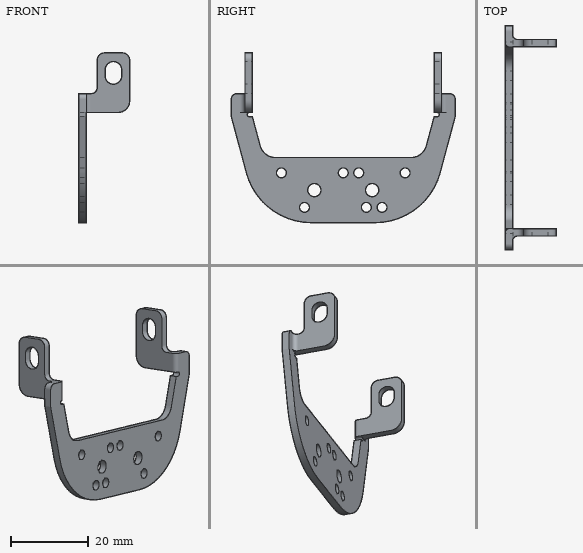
import cadquery as cq
import math

width = 58.0
height = 44.0
depth = 13.2
sheet = 2.0

half_width = width / 2
arm_top = 33.45
arm_corner_radius = 1.5
arm_bend_z = 27.5
arm_slope = math.tan(math.radians(15))
bottom_radius = 17.5
web_top = 16.95
inner_radius = 4.0

tab_inner_y = 23.5
tab_outer_y = tab_inner_y + sheet
bend_outer_radius = 1.1
bend_inner_radius = 1.15
tab_neck_x = 4.75
neck_radius = 1.5
tab_top_radius = 2.0
tab_lower_radius = 3.0

tab_hole_width = 4.25
tab_hole_length = 5.8
tab_hole_x = (tab_neck_x + depth) / 2
tab_hole_z = 38.8

relief_width = 1.05
relief_top = 28.55
relief_bottom = relief_top - relief_width
relief_end_y = 24.8

small_hole_diameter = 2.5
large_hole_diameter = 3.35
upper_row_z = 12.95
middle_row_z = 8.45
lower_row_z = 4.0
small_holes = [(y, upper_row_z) for y in (-16.0, 0, 4.0, 16.0)]
small_holes += [(y, lower_row_z) for y in (-10.05, 6.0, 10.05)]
large_holes = [(y, middle_row_z) for y in (-7.5, 7.5)]


def round_edges(body, direction, points, radius):
    """Fillet the edges parallel to a direction that lie nearest the points."""
    for point in points:
        edge = cq.selectors.NearestToPointSelector(point)
        body = body.edges(direction).edges(edge).fillet(radius)
    return body


def make_plate():
    """U-shaped plate with sloping arms and rounded corners."""
    bottom_y = half_width - arm_bend_z * arm_slope
    web_y = tab_inner_y - (relief_bottom - web_top) * arm_slope
    half_outline = [
        (bottom_y, 0),
        (half_width, arm_bend_z),
        (half_width, arm_top),
        (tab_inner_y, arm_top),
        (tab_inner_y, relief_bottom),
        (web_y, web_top),
    ]
    mirrored = [(-y, z) for y, z in reversed(half_outline)]
    plate = cq.Workplane("YZ").polyline(half_outline + mirrored).close().extrude(sheet)
    mid = sheet / 2
    for side in (-1, 1):
        plate = round_edges(plate, "|X", [(mid, side * bottom_y, 0)], bottom_radius)
        plate = round_edges(plate, "|X", [(mid, side * web_y, web_top)], inner_radius)
        plate = round_edges(plate, "|X", [(mid, side * half_width, arm_top)], arm_corner_radius)
    return plate


def make_tab():
    """L-shaped tab on the +Y side, with its obround hole."""
    outline = [
        (0, relief_top),
        (depth, relief_top),
        (depth, height),
        (tab_neck_x, height),
        (tab_neck_x, arm_top),
        (0, arm_top),
    ]
    tab = (
        cq.Workplane("XZ", origin=(0, tab_outer_y, 0))
        .polyline(outline)
        .close()
        .extrude(sheet)
    )
    mid_y = (tab_inner_y + tab_outer_y) / 2
    top_corners = [(depth, mid_y, height), (tab_neck_x, mid_y, height)]
    tab = round_edges(tab, "|Y", top_corners, tab_top_radius)
    tab = round_edges(tab, "|Y", [(depth, mid_y, relief_top)], tab_lower_radius)
    tab = round_edges(tab, "|Y", [(tab_neck_x, mid_y, arm_top)], neck_radius)
    hole = (
        cq.Workplane("XZ", origin=(0, tab_outer_y, 0))
        .center(tab_hole_x, tab_hole_z)
        .slot2D(tab_hole_length, tab_hole_width, 90)
        .extrude(sheet)
    )
    return tab.cut(hole)


def make_bend_fill():
    """Concave fillet between the back of the +Y arm and its tab."""
    bend_x = sheet + bend_inner_radius
    bend_y = tab_outer_y + bend_inner_radius
    diagonal = bend_inner_radius * math.sqrt(0.5)
    return (
        cq.Workplane("XY", origin=(0, 0, relief_top))
        .moveTo(sheet, tab_outer_y)
        .lineTo(bend_x, tab_outer_y)
        .threePointArc((bend_x - diagonal, bend_y - diagonal), (sheet, bend_y))
        .close()
        .extrude(arm_top - relief_top)
    )


def make_relief():
    """Round-ended slot cut into the inner edge of the +Y arm."""
    radius = relief_width / 2
    straight_end_y = relief_end_y - radius
    return (
        cq.Workplane("YZ")
        .moveTo(tab_inner_y, relief_bottom)
        .lineTo(straight_end_y, relief_bottom)
        .threePointArc((relief_end_y, relief_bottom + radius), (straight_end_y, relief_top))
        .lineTo(tab_inner_y, relief_top)
        .close()
        .extrude(sheet)
    )


def cut_holes(body, centres, diameter):
    """Cut round holes through the plate at the given (Y, Z) centres."""
    holes = cq.Workplane("YZ").pushPoints(centres).circle(diameter / 2).extrude(sheet)
    return body.cut(holes)


folded_tab = make_tab().union(make_bend_fill())
relief = make_relief()

result = make_plate()
result = result.union(folded_tab).union(folded_tab.mirror("XZ"))
result = result.cut(relief).cut(relief.mirror("XZ"))

bend_mid_z = (relief_top + arm_top) / 2
outer_bends = [(0, side * tab_inner_y, bend_mid_z) for side in (-1, 1)]
result = round_edges(result, "|Z", outer_bends, bend_outer_radius)

result = cut_holes(result, small_holes, small_hole_diameter)
result = cut_holes(result, large_holes, large_hole_diameter)